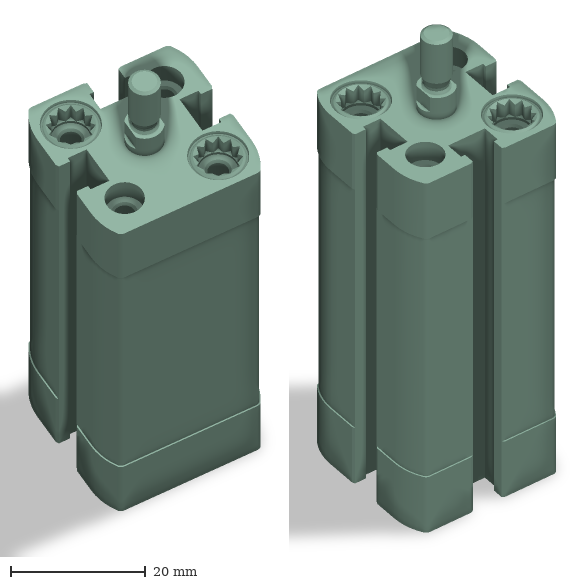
import cadquery as cq
import math

total_height = 80.95
body_width = 27.5
body_height = 66.8
cap_height = 10.6
barrel_inset = 0.25

hole_offset = 8.0
corner_arc_radius = 9.95
corner_blend_radius = 1.0

slot_shift = 0.65
slot_mouth_width = 5.35
slot_inner_width = 6.8
slot_lip = 2.2
slot_depth = 5.4
lip_chamfer_width = 0.5
lip_chamfer_depth = 0.25
slot_places = ((0, 1), (-90, -1), (180, 1))

through_diameter = 3.2
counterbore_diameter = 6.0
counterbore_depth = 3.5
hole_countersink_diameter = 4.0

screw_rim_diameter = 9.2
screw_seat_diameter = 9.0
screw_cone_diameter = 8.5
screw_ridge_diameter = 7.5
screw_seat_depth = 0.5
screw_ridge_depth = 0.1
socket_cone_depth = 0.65
socket_depth = 3.0
socket_points = 12
socket_crest_diameter = counterbore_diameter
socket_root_diameter = 7.45

rod_diameter = 6.0
rod_shoulder_z = 70.9
flat_width = 4.9
flat_bottom_z = 68.2
flat_run_out = 0.25
thread_diameter = 4.85
thread_start_z = 73.2
thread_tip_diameter = 3.8
thread_chamfer_height = 0.3
neck_diameter = 3.8
neck_top_z = 71.8
neck_cone_diameter = 4.0
neck_cone_z = 72.05
neck_bottom_z = 71.3
neck_foot_diameter = 4.5
rod_end_z = body_height - cap_height


def outline(inset):
    """Square with flat sides and an arc toward each corner."""
    half = body_width / 2 - inset
    arc_radius = corner_arc_radius - inset
    arc_centre_y = half - arc_radius
    reach = half - hole_offset
    corner_y = arc_centre_y + math.sqrt(arc_radius**2 - reach**2)
    mid_angle = (math.pi / 2 + math.acos(reach / arc_radius)) / 2
    mid_x = hole_offset + arc_radius * math.cos(mid_angle)
    mid_y = arc_centre_y + arc_radius * math.sin(mid_angle)
    return (
        cq.Workplane("XY")
        .moveTo(-hole_offset, half)
        .lineTo(hole_offset, half)
        .threePointArc((mid_x, mid_y), (half, corner_y))
        .lineTo(half, -corner_y)
        .threePointArc((mid_x, -mid_y), (hole_offset, -half))
        .lineTo(-hole_offset, -half)
        .threePointArc((-mid_x, -mid_y), (-half, -corner_y))
        .lineTo(-half, corner_y)
        .threePointArc((-mid_x, mid_y), (-hole_offset, half))
        .close()
    )


def outline_block(inset, base_z, height):
    """Extruded outline with its four sharp corners blended."""
    block = outline(inset).extrude(height)
    half = body_width / 2 - inset
    sharp_edges = block.edges("|Z").filter(lambda edge: abs(abs(edge.Center().x) - half) < 0.01)
    return sharp_edges.fillet(corner_blend_radius).translate((0, 0, base_z))


def slot_cutter(shift):
    """T-slot on the -Y side, over the full height of the body."""
    side = -body_width / 2
    mouth = cq.Workplane("XY").box(
        slot_mouth_width, slot_depth, body_height, centered=(True, False, False)
    )
    inner = cq.Workplane("XY").box(
        slot_inner_width, slot_depth - slot_lip, body_height, centered=(True, False, False)
    )
    return mouth.union(inner.translate((0, slot_lip, 0))).translate((shift, side, 0))


def lip_chamfer_cutter(shift, base_z):
    """Chamfers on both mouth edges of the -Y slot, over one cap."""
    side = -body_width / 2
    half_mouth = slot_mouth_width / 2
    return (
        cq.Workplane("XY")
        .moveTo(shift - half_mouth - lip_chamfer_width, side)
        .lineTo(shift + half_mouth + lip_chamfer_width, side)
        .lineTo(shift + half_mouth, side + lip_chamfer_depth)
        .lineTo(shift - half_mouth, side + lip_chamfer_depth)
        .close()
        .extrude(cap_height)
        .translate((0, 0, base_z))
    )


def turned(profile):
    """Solid of revolution about Z from (radius, z) points."""
    return cq.Workplane("XZ").polyline(profile).close().revolve(360, (0, 0), (0, 1))


def mounting_hole():
    """Counterbored, countersunk through hole on the Z axis."""
    floor_z = body_height - counterbore_depth
    through_radius = through_diameter / 2
    countersink_radius = hole_countersink_diameter / 2
    bore_radius = counterbore_diameter / 2
    return turned([
        (0, 0),
        (through_radius, 0),
        (through_radius, floor_z - (countersink_radius - through_radius)),
        (countersink_radius, floor_z),
        (bore_radius, floor_z),
        (bore_radius, body_height),
        (0, body_height),
    ])


def socket_star():
    """Twelve-point socket on the Z axis, roots at multiples of 30 degrees."""
    points = []
    for step in range(2 * socket_points):
        radius = (socket_root_diameter if step % 2 == 0 else socket_crest_diameter) / 2
        angle = math.pi * step / socket_points
        points.append((radius * math.cos(angle), radius * math.sin(angle)))
    star = cq.Workplane("XY").polyline(points).close().extrude(socket_depth)
    return star.translate((0, 0, body_height - socket_depth))


def screw_recess():
    """Tapered ring groove with a coned mouth into the twelve-point socket."""
    seat_z = body_height - screw_seat_depth
    mouth = turned([
        (0, body_height),
        (screw_rim_diameter / 2, body_height),
        (screw_seat_diameter / 2, seat_z),
        (screw_cone_diameter / 2, seat_z),
        (screw_ridge_diameter / 2, body_height - screw_ridge_depth),
        (socket_crest_diameter / 2, body_height - socket_cone_depth),
        (0, body_height - socket_cone_depth),
    ])
    return mouth.union(socket_star())


def make_rod():
    """Piston rod with wrench flats, a relief neck and a threaded end."""
    rod_radius = rod_diameter / 2
    thread_radius = thread_diameter / 2
    neck_radius = neck_diameter / 2
    rod = turned([
        (0, rod_end_z),
        (rod_radius, rod_end_z),
        (rod_radius, rod_shoulder_z),
        (neck_foot_diameter / 2, rod_shoulder_z),
        (neck_radius, neck_bottom_z),
        (neck_radius, neck_top_z),
        (neck_cone_diameter / 2, neck_cone_z),
        (thread_radius, thread_start_z),
        (thread_radius, total_height - thread_chamfer_height),
        (thread_tip_diameter / 2, total_height),
        (0, total_height),
    ])
    flat_cutter = (
        cq.Workplane("YZ")
        .moveTo(flat_width / 2, flat_bottom_z)
        .lineTo(flat_width / 2, rod_shoulder_z)
        .lineTo(rod_radius, rod_shoulder_z)
        .lineTo(rod_radius, flat_bottom_z - flat_run_out)
        .close()
        .extrude(rod_radius, both=True)
    )
    for turn in (0, 180):
        rod = rod.cut(flat_cutter.rotate((0, 0, 0), (0, 0, 1), turn))
    return rod


def make_housing():
    """Cylinder body: barrel between two caps, slotted and drilled."""
    upper_cap_z = body_height - cap_height
    housing = outline_block(barrel_inset, cap_height, upper_cap_z - cap_height)
    for cap_z in (0, upper_cap_z):
        housing = housing.union(outline_block(0, cap_z, cap_height))

    for turn, direction in slot_places:
        shift = direction * slot_shift
        cutters = [
            slot_cutter(shift),
            lip_chamfer_cutter(shift, 0),
            lip_chamfer_cutter(shift, upper_cap_z),
        ]
        for cutter in cutters:
            housing = housing.cut(cutter.rotate((0, 0, 0), (0, 0, 1), turn))

    for x_side in (-1, 1):
        for y_side in (-1, 1):
            place = (x_side * hole_offset, y_side * hole_offset, 0)
            housing = housing.cut(mounting_hole().translate(place))
            if x_side == y_side:
                housing = housing.cut(screw_recess().translate(place))

    rod_bore = cq.Workplane("XY").circle(rod_diameter / 2).extrude(cap_height)
    return housing.cut(rod_bore.translate((0, 0, rod_end_z)))


housing = make_housing()
rod = make_rod()
result = cq.Compound.makeCompound([housing.val(), rod.val()])